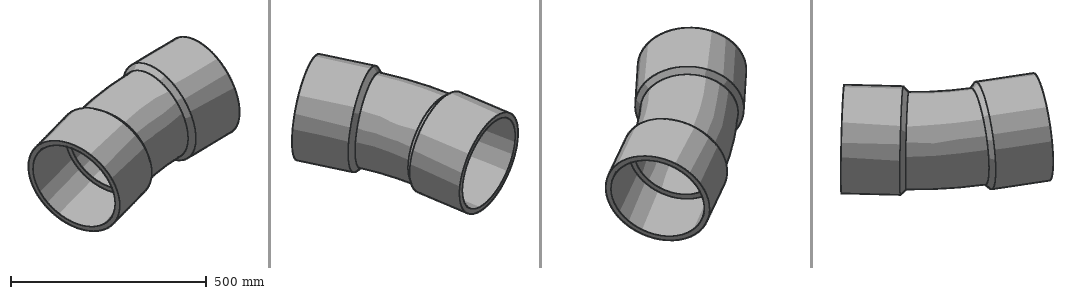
import cadquery as cq
import math

bend_angle = 15.0
bend_radius = 805.0
socket_diameter = 279.0
pipe_diameter = 250.0
bore_diameter = 220.5
socket_depth = 151.0

shoulder_length = (socket_diameter - pipe_diameter) / 2

angle = math.radians(bend_angle)
bend_end = cq.Vector(
    bend_radius * (1 - math.cos(angle)),
    bend_radius * math.sin(angle),
    0,
)
outlet_direction = cq.Vector(math.sin(angle), math.cos(angle), 0)


def bent_rod(diameter):
    """Solid rod swept around the bend, starting at the origin along +Y."""
    return (
        cq.Workplane("XZ")
        .circle(diameter / 2)
        .revolve(bend_angle, (bend_radius, 0, 0), (bend_radius, -1, 0))
    )


def turned_solid(profile, origin, direction):
    """Revolve (radius, distance) points about the axis through origin along direction."""
    radial = cq.Vector(0, 0, 1)
    plane = cq.Plane(origin, xDir=radial, normal=radial.cross(direction))
    return cq.Workplane(plane).polyline(profile).close().revolve(360, (0, 0), (0, 1))


def socket_body(origin, direction):
    """Solid socket from origin outward, with its shoulder cone tapering back over the bend."""
    profile = [
        (0, -shoulder_length),
        (pipe_diameter / 2, -shoulder_length),
        (socket_diameter / 2, 0),
        (socket_diameter / 2, socket_depth),
        (0, socket_depth),
    ]
    return turned_solid(profile, origin, direction)


def socket_bore(origin, direction):
    """Cutter for the socket, which bottoms on a ledge at the end of the bend."""
    profile = [
        (0, 0),
        (pipe_diameter / 2, 0),
        (pipe_diameter / 2, socket_depth),
        (0, socket_depth),
    ]
    return turned_solid(profile, origin, direction)


ends = [
    (cq.Vector(0, 0, 0), cq.Vector(0, -1, 0)),
    (bend_end, outlet_direction),
]

result = bent_rod(pipe_diameter)
for origin, direction in ends:
    result = result.union(socket_body(origin, direction))

result = result.cut(bent_rod(bore_diameter))
for origin, direction in ends:
    result = result.cut(socket_bore(origin, direction))